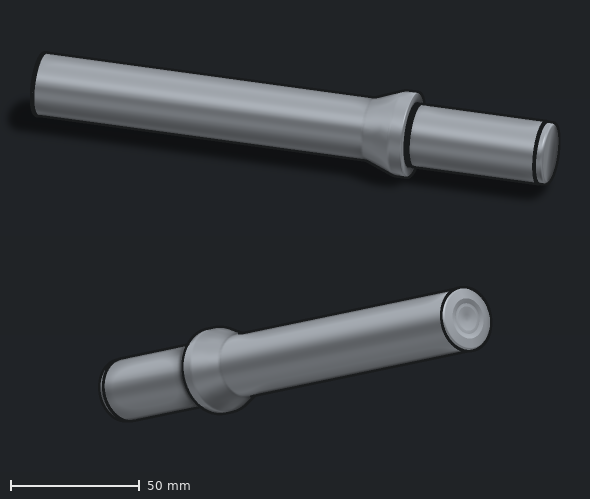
import cadquery as cq
import math

total_length = 208.0
pin_diameter = 25.0
relief_diameter = 24.5
collar_diameter = 34.0
pin_radius = pin_diameter / 2
relief_radius = relief_diameter / 2
collar_radius = collar_diameter / 2
start_x = -total_length / 2
end_x = start_x + total_length

cap_radius = 12.7
rim_round = 1.2
crown_height = 0.2
face_edge_radius = cap_radius - rim_round
joint_x = start_x + crown_height + rim_round

recess_radius = 8.0
recess_slope_radius = 6.0
recess_floor_radius = 4.8
recess_depth = 0.31
floor_cone_depth = 0.5

collar_start_x = start_x + 134.2
collar_end_x = start_x + 152.0
rim_line_x = start_x + 147.3
taper_angle = math.radians(22)
blend_radius = 3.3
collar_edge_round = 0.6

groove_bevel = 0.5
step_bevel = 0.6
groove_end_x = start_x + 153.7
lead_start_x = start_x + 204.3
end_round = 1.2


def arc_travel(radius, angle):
    """Axial and radial travel along an arc that starts parallel to the axis."""
    return radius * math.sin(angle), radius * (1 - math.cos(angle))


def revolve_about_axis(profile):
    return profile.close().revolve(360, (0, 0, 0), (1, 0, 0))


def make_cap():
    rim_travel, rim_drop = arc_travel(rim_round, math.pi / 4)
    return revolve_about_axis(
        cq.Workplane("XY")
        .moveTo(start_x + recess_depth + floor_cone_depth, 0)
        .lineTo(start_x + recess_depth, recess_floor_radius)
        .lineTo(start_x + recess_depth, recess_slope_radius)
        .lineTo(start_x, recess_radius)
        .lineTo(start_x + crown_height, face_edge_radius)
        .threePointArc(
            (joint_x - rim_travel, cap_radius - rim_drop),
            (joint_x, cap_radius),
        )
        .lineTo(joint_x, 0)
    )


def make_shaft():
    round_travel, round_drop = arc_travel(end_round, math.pi / 4)
    return revolve_about_axis(
        cq.Workplane("XY")
        .moveTo(joint_x, 0)
        .lineTo(joint_x, pin_radius)
        .lineTo(collar_end_x, pin_radius)
        .lineTo(collar_end_x + groove_bevel, relief_radius)
        .lineTo(groove_end_x - step_bevel, relief_radius)
        .lineTo(groove_end_x, pin_radius)
        .lineTo(lead_start_x, pin_radius)
        .lineTo(lead_start_x + step_bevel, relief_radius)
        .lineTo(end_x - end_round, relief_radius)
        .threePointArc(
            (end_x - end_round + round_travel, relief_radius - round_drop),
            (end_x, relief_radius - end_round),
        )
        .lineTo(end_x, 0)
    )


def make_collar():
    full_travel, full_rise = arc_travel(blend_radius, taper_angle)
    half_travel, half_rise = arc_travel(blend_radius, taper_angle / 2)
    edge_travel, edge_drop = arc_travel(collar_edge_round, math.pi / 4)
    edge_start_x = collar_end_x - collar_edge_round
    return revolve_about_axis(
        cq.Workplane("XY")
        .moveTo(collar_start_x, 0)
        .lineTo(collar_start_x, pin_radius)
        .threePointArc(
            (collar_start_x + half_travel, pin_radius + half_rise),
            (collar_start_x + full_travel, pin_radius + full_rise),
        )
        .lineTo(rim_line_x - full_travel, collar_radius - full_rise)
        .threePointArc(
            (rim_line_x - half_travel, collar_radius - half_rise),
            (rim_line_x, collar_radius),
        )
        .lineTo(edge_start_x, collar_radius)
        .threePointArc(
            (edge_start_x + edge_travel, collar_radius - edge_drop),
            (collar_end_x, collar_radius - collar_edge_round),
        )
        .lineTo(collar_end_x, 0)
    )


cap = make_cap()
pin = make_shaft().union(make_collar())

result = cq.Compound.makeCompound([cap.val(), *pin.solids().vals()])